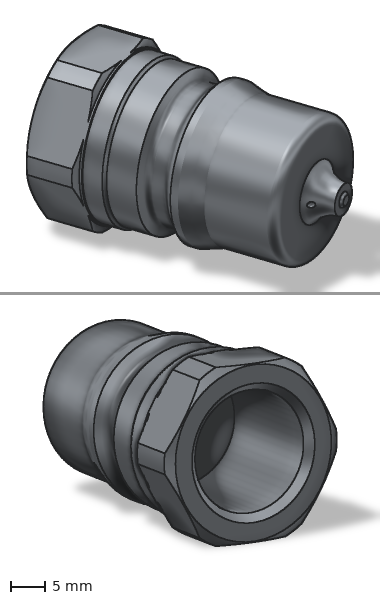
import cadquery as cq
import math

total_length = 46.45

across_flats = 27.0
across_corners = 29.5
corner_radius = across_corners / 2
hex_face_radius = 13.35
hex_front_chamfer_angle = math.radians(30)
hex_rear_edge = 8.5
hex_shoulder_start = 9.05
hex_end = 9.47
hex_shoulder_radius = 13.55

collar_radius = 13.3
collar_end = 12.75
collar_chamfer = 0.25
body_start = 13.3
body_radius = 12.85

groove_radius = 11.05
groove_start = 18.35
groove_floor_start = 20.0
groove_floor_end = 21.95
groove_end = 24.1
front_wall_end = 18.95
front_wall_end_radius = 11.65
rear_wall_end = 22.7
rear_wall_end_radius = 11.4

rim_end = 25.4
barrel_start = 29.2
barrel_end = 41.45
barrel_radius = 11.75
barrel_fillet = 1.6

nose_end = 45.98
nose_base_radius = 5.0
nose_tip_radius = 2.55
pin_base_radius = 1.25
pin_tip_radius = 0.85
cross_hole_diameter = 0.98
cross_hole_x = 42.7

bore_radius = 9.3
bore_mouth_radius = 10.5
bore_chamfer_length = 1.2
bore_depth = 20.9


def revolve_about_x(profile):
    return profile.close().revolve(360, (0, 0, 0), (1, 0, 0))


def make_hexagon():
    sharp_corners = across_flats / math.cos(math.radians(30))
    prism = cq.Workplane("YZ").polygon(6, sharp_corners).extrude(hex_end)
    chamfer_slope = math.tan(hex_front_chamfer_angle)
    front_edge = (corner_radius - hex_face_radius) * chamfer_slope
    envelope = revolve_about_x(
        cq.Workplane("XY")
        .lineTo(0, hex_face_radius)
        .lineTo(front_edge, corner_radius)
        .lineTo(hex_rear_edge, corner_radius)
        .lineTo(hex_shoulder_start, hex_shoulder_radius)
        .lineTo(hex_end, hex_shoulder_radius)
        .lineTo(hex_end, 0)
    )
    return prism.intersect(envelope)


def make_turned_body():
    return revolve_about_x(
        cq.Workplane("XY")
        .lineTo(0, bore_mouth_radius)
        .lineTo(hex_end / 2, collar_radius)
        .lineTo(collar_end, collar_radius)
        .lineTo(collar_end + collar_chamfer, collar_radius - collar_chamfer)
        .lineTo(body_start, body_radius)
        .lineTo(rim_end, body_radius)
        .lineTo(barrel_start, barrel_radius)
        .lineTo(barrel_end - barrel_fillet, barrel_radius)
        .radiusArc((barrel_end, barrel_radius - barrel_fillet), barrel_fillet)
        .lineTo(barrel_end, 0)
    )


def make_groove():
    return revolve_about_x(
        cq.Workplane("XY")
        .moveTo(groove_start, body_radius)
        .lineTo(front_wall_end, front_wall_end_radius)
        .tangentArcPoint((groove_floor_start, groove_radius), relative=False)
        .lineTo(groove_floor_end, groove_radius)
        .tangentArcPoint((rear_wall_end, rear_wall_end_radius), relative=False)
        .lineTo(groove_end, body_radius)
    )


def make_nose():
    run = nose_end - barrel_end
    rise = nose_base_radius - nose_tip_radius
    flare_radius = (run**2 + rise**2) / (2 * rise)
    return revolve_about_x(
        cq.Workplane("XY")
        .moveTo(barrel_end, 0)
        .lineTo(barrel_end, nose_base_radius)
        .radiusArc((nose_end, nose_tip_radius), -flare_radius)
        .lineTo(nose_end, pin_base_radius)
        .lineTo(total_length, pin_tip_radius)
        .lineTo(total_length, 0)
    )


def make_bore():
    return revolve_about_x(
        cq.Workplane("XY")
        .lineTo(0, bore_mouth_radius)
        .lineTo(bore_chamfer_length, bore_radius)
        .lineTo(bore_depth, bore_radius)
        .lineTo(bore_depth, 0)
    )


def make_cross_hole():
    return (
        cq.Workplane("XZ")
        .center(cross_hole_x, 0)
        .circle(cross_hole_diameter / 2)
        .extrude(nose_base_radius, both=True)
    )


plug = make_turned_body().cut(make_groove()).union(make_hexagon()).union(make_nose())
result = plug.cut(make_bore()).cut(make_cross_hole())